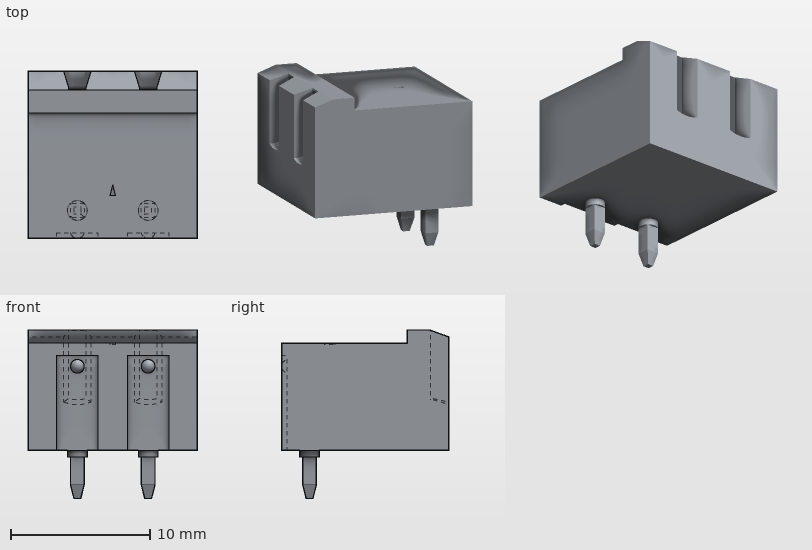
import cadquery as cq

housing_width = 12.16
housing_depth = 12.0
housing_height = 8.65
ridge_depth = 3.0
ridge_rise = 0.94
deck_height = housing_height - ridge_rise
ridge_slope_depth = 1.37
ridge_slope_drop = 0.5

pitch = 5.08
contact_positions = (-pitch / 2, pitch / 2)
contact_height = 6.04
contact_diameter = 1.0

recess_width = 2.98
recess_height = 6.83
recess_depth = 0.4

pin_setback = 2.0
collar_diameter = 1.42
collar_length = 0.47
pin_size = 1.0
pin_tip_size = 0.5
pin_length = 3.45
pin_taper_length = 1.0

entry_width = 1.97
entry_end_width = 1.27
entry_depth = 1.3
entry_taper_depth = 1.15
entry_floor_radius = 2.4
entry_floor_back_radius = entry_floor_radius + (entry_width - entry_end_width) / 2

mark_width = 0.4
mark_length = 0.76
mark_base_setback = 3.06
mark_depth = 0.1


def make_housing():
    """Side profile, with the raised ridge along the back, extruded across X."""
    ridge_front = housing_depth - ridge_depth
    profile = [
        (0, 0),
        (housing_depth, 0),
        (housing_depth, housing_height - ridge_slope_drop),
        (housing_depth - ridge_slope_depth, housing_height),
        (ridge_front, housing_height),
        (ridge_front, deck_height),
        (0, deck_height),
    ]
    return cq.Workplane("YZ").polyline(profile).close().extrude(housing_width / 2, both=True)


def make_recess(x):
    """Shallow front recess, open at the underside."""
    recess = cq.Workplane("XY").box(
        recess_width, recess_depth, recess_height, centered=(True, False, False)
    )
    return recess.translate((x, 0, 0))


def make_entry(x):
    """Slot narrowing towards the front, with a shallow conical floor and an open top."""
    back = housing_depth
    taper_end = back - entry_taper_depth
    slot_end = back - entry_depth
    half_width = entry_width / 2
    half_end = entry_end_width / 2

    plan = [
        (-half_width, back),
        (half_width, back),
        (half_end, taper_end),
        (half_end, slot_end),
        (-half_end, slot_end),
        (-half_end, taper_end),
    ]
    upper = cq.Workplane("XY").polyline(plan).close().extrude(housing_height - contact_height)
    lower = cq.Workplane("XY").polyline(plan).close().extrude(-entry_floor_back_radius)

    floor_section = [
        (0, back),
        (entry_floor_back_radius, back),
        (entry_floor_radius, taper_end),
        (entry_floor_radius, slot_end),
        (0, slot_end),
    ]
    floor_cone = cq.Workplane("XY").polyline(floor_section).close().revolve(360, (0, 0), (0, 1))
    return upper.union(lower.intersect(floor_cone)).translate((x, 0, contact_height))


def make_contact_end(x):
    """Ball-shaped contact end, part sunk in the recess floor and flush with the front."""
    dome = cq.Workplane("XY").sphere(contact_diameter / 2)
    return dome.translate((x, contact_diameter / 2, contact_height))


def make_solder_pin(x):
    """Round collar up through the housing, square pin below it and a tapered tip."""
    taper_start = pin_length - pin_taper_length
    collar = (
        cq.Workplane("XY")
        .workplane(offset=-collar_length)
        .circle(collar_diameter / 2)
        .extrude(collar_length + deck_height)
    )
    shank = cq.Workplane("XY").rect(pin_size, pin_size).extrude(-taper_start)
    tip = (
        cq.Workplane("XY")
        .workplane(offset=-taper_start)
        .rect(pin_size, pin_size)
        .workplane(offset=-pin_taper_length)
        .rect(pin_tip_size, pin_tip_size)
        .loft(ruled=True)
    )
    return collar.union(shank).union(tip).translate((x, pin_setback, 0))


def make_mark():
    """Triangle pointing towards the back."""
    outline = [
        (-mark_width / 2, mark_base_setback),
        (mark_width / 2, mark_base_setback),
        (0, mark_base_setback + mark_length),
    ]
    deck = cq.Workplane("XY").workplane(offset=deck_height)
    return deck.polyline(outline).close().extrude(-mark_depth)


body = make_housing().cut(make_mark())
for position in contact_positions:
    body = body.cut(make_recess(position)).cut(make_entry(position))
    body = body.union(make_contact_end(position))

for position in contact_positions:
    body = body.union(make_solder_pin(position), clean=False)

result = body